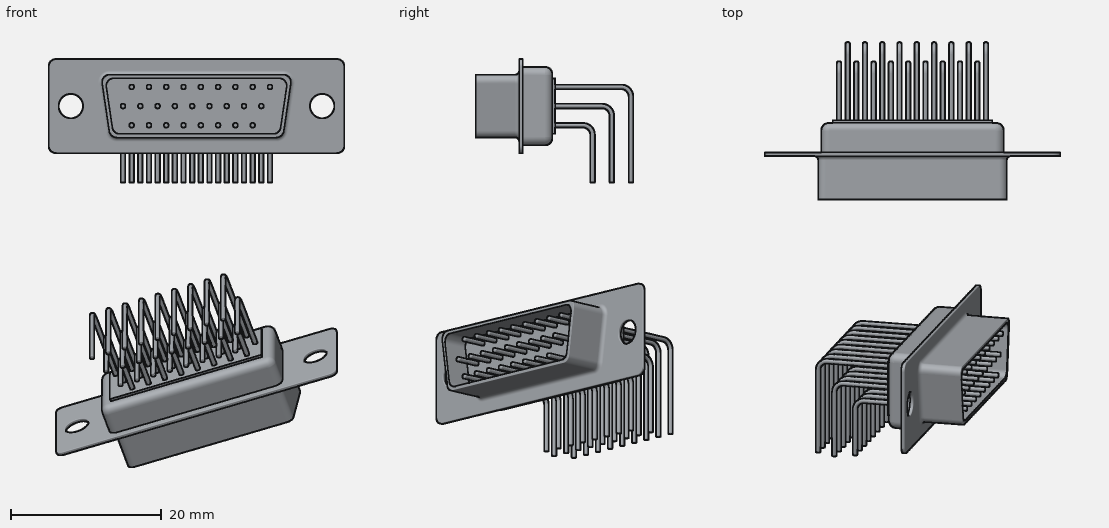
import cadquery as cq
import math


FLANGE_WIDTH = 39.2
FLANGE_HEIGHT = 12.5
FLANGE_THICKNESS = 0.5
FLANGE_CORNER_RADIUS = 1.0
FLANGE_EDGE_RADIUS = 0.1
MOUNT_HOLE_DIAMETER = 3.2
MOUNT_HOLE_SPACING = 33.3

SHELL_TOP_WIDTH = 25.34
SHELL_HEIGHT = 8.33
SHELL_LENGTH = 5.76
SHELL_SIDE_ANGLE = 8.4
SHELL_CORNER_RADIUS = 1.0
SHELL_WALL = 0.48
SHELL_FOOT_RADIUS = 0.53
SHELL_RIM_RADIUS = 0.05
CAVITY_FLOOR_Y = -2.0

HOUSING_WIDTH = 24.2
HOUSING_HEIGHT = 10.4
HOUSING_BACK_Y = 4.42
HOUSING_CORNER_RADIUS = 1.1
HOUSING_BACK_RADIUS = 1.0
BACK_PAD_WIDTH = 21.15
BACK_PAD_HEIGHT = 7.35
BACK_PAD_THICKNESS = 0.35

CONTACT_DIAMETER = 0.64
CONTACT_PITCH = 2.29
ROW_PITCH = 2.54
ROW_COUNTS = (8, 9, 9)
CONTACT_TIP_Y = -5.6
CONTACT_TIP_RADIUS = 0.15
LEAD_BEND_RADIUS = 1.28
LEAD_END_Z = -10.15
MIDDLE_LEAD_Y = 12.28

OVERLAP = 0.2


def plane_at(y):
    """XZ workplane at the given Y; extrusions grow toward +Y and its local x points along -X."""
    return cq.Workplane(cq.Plane(origin=(0, y, 0), xDir=(-1, 0, 0), normal=(0, 1, 0)))


def rounded_block(width, height, corner_radius, start_y, end_y):
    block = plane_at(start_y).rect(width, height).extrude(end_y - start_y)
    return block.edges("|Y").fillet(corner_radius)


def d_prism(inset, start_y, end_y):
    """Prism with the shell's rounded D outline, offset inward by the inset."""
    angle = math.radians(SHELL_SIDE_ANGLE)
    half_height = SHELL_HEIGHT / 2 - inset
    mean_half_width = SHELL_TOP_WIDTH / 2 - SHELL_HEIGHT / 2 * math.tan(angle) - inset / math.cos(angle)
    lean = half_height * math.tan(angle)
    top = mean_half_width + lean
    bottom = mean_half_width - lean
    corners = [(-top, half_height), (top, half_height), (bottom, -half_height), (-bottom, -half_height)]
    prism = plane_at(start_y).polyline(corners).close().extrude(end_y - start_y)
    return prism.edges("|Y").fillet(SHELL_CORNER_RADIUS)


def make_flange():
    flange = rounded_block(FLANGE_WIDTH, FLANGE_HEIGHT, FLANGE_CORNER_RADIUS, 0, FLANGE_THICKNESS)
    hole_centres = [(-MOUNT_HOLE_SPACING / 2, 0), (MOUNT_HOLE_SPACING / 2, 0)]
    holes = plane_at(0).pushPoints(hole_centres).circle(MOUNT_HOLE_DIAMETER / 2).extrude(FLANGE_THICKNESS)
    flange = flange.cut(holes)
    return flange.faces("<Y or >Y").edges().fillet(FLANGE_EDGE_RADIUS)


def add_shell(flange):
    shell = d_prism(0, -SHELL_LENGTH, OVERLAP)
    shell = shell.faces("<Y").edges().fillet(SHELL_RIM_RADIUS)
    body = flange.union(shell)
    foot_zone = cq.selectors.BoxSelector(
        (-SHELL_TOP_WIDTH / 2, -OVERLAP / 2, -HOUSING_HEIGHT / 2),
        (SHELL_TOP_WIDTH / 2, OVERLAP / 2, HOUSING_HEIGHT / 2),
        boundingbox=True,
    )
    return body.edges(foot_zone).fillet(SHELL_FOOT_RADIUS)


def make_housing():
    housing = rounded_block(
        HOUSING_WIDTH, HOUSING_HEIGHT, HOUSING_CORNER_RADIUS, FLANGE_THICKNESS - OVERLAP, HOUSING_BACK_Y
    )
    housing = housing.faces(">Y").edges().fillet(HOUSING_BACK_RADIUS)
    pad_start_y = HOUSING_BACK_Y - OVERLAP
    pad = plane_at(pad_start_y).rect(BACK_PAD_WIDTH, BACK_PAD_HEIGHT).extrude(BACK_PAD_THICKNESS + OVERLAP)
    return housing.union(pad)


def make_contact(x, z, lead_y):
    """Round contact running back from its tip and bending down into a lead."""
    bend_start_y = lead_y - LEAD_BEND_RADIUS
    bend_end_z = z - LEAD_BEND_RADIUS
    mid_reach = LEAD_BEND_RADIUS * math.sin(math.pi / 4)
    path = (
        cq.Workplane("YZ", origin=(x, 0, 0))
        .moveTo(CONTACT_TIP_Y, z)
        .lineTo(bend_start_y, z)
        .threePointArc((bend_start_y + mid_reach, bend_end_z + mid_reach), (lead_y, bend_end_z))
        .lineTo(lead_y, LEAD_END_Z)
    )
    section = plane_at(CONTACT_TIP_Y).center(-x, z).circle(CONTACT_DIAMETER / 2)
    contact = section.sweep(path)
    contact = contact.faces("<Y").edges().fillet(CONTACT_TIP_RADIUS)
    return contact.faces("<Z").edges().fillet(CONTACT_TIP_RADIUS)


def make_contacts():
    contacts = []
    for row, count in enumerate(ROW_COUNTS):
        level = row - 1
        z = level * ROW_PITCH
        lead_y = MIDDLE_LEAD_Y + level * ROW_PITCH
        stagger = -CONTACT_PITCH / 4 if level == 0 else CONTACT_PITCH / 4
        first_x = stagger - (max(ROW_COUNTS) - 1) / 2 * CONTACT_PITCH
        for column in range(count):
            contacts.append(make_contact(first_x + column * CONTACT_PITCH, z, lead_y))
    return contacts


result = add_shell(make_flange()).union(make_housing())
result = result.cut(d_prism(SHELL_WALL, -SHELL_LENGTH, CAVITY_FLOOR_Y))
for contact_pin in make_contacts():
    result = result.union(contact_pin)